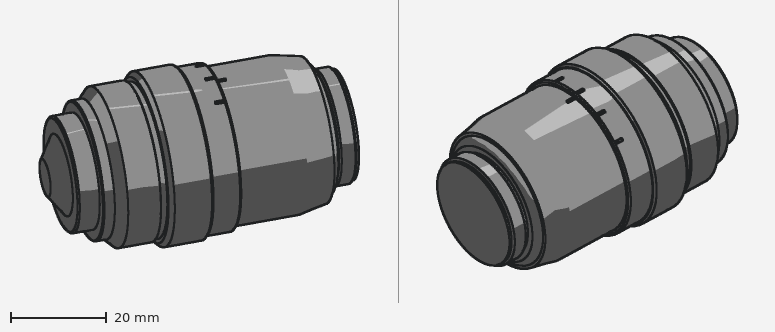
import cadquery as cq

LENGTH = 65.05

TIP_D = 8.05
CONE_BASE_D = 17.55
NOSE_D = 25.0
COLLAR_D = 30.0
FRONT_BARREL_D = 34.5
NECK_D = 33.5
GRIP_RING_D = 37.5
SCALE_RING_D = 36.0
BARREL_D = 34.0
TAPER_END_D = 31.5
SHOULDER_FRONT_D = 30.0
SHOULDER_REAR_D = 26.8
MOUNT_D = 25.0
MOUNT_RELIEF_D = 23.8

CONE_BASE_Y = 3.4
NOSE_REAR_Y = 8.1
COLLAR_REAR_Y = 10.7
NECK_FRONT_Y = 20.1
GRIP_RING_FRONT_Y = 21.6
GRIP_RING_REAR_Y = 31.3
SCALE_RING_REAR_Y = 37.55
TAPER_START_Y = 52.3
TAPER_END_Y = 58.5
SHOULDER_REAR_Y = 60.05
MOUNT_FRONT_Y = 60.7
MOUNT_REAR_Y = 64.5

NOSE_CHAMFER = 0.4
COLLAR_CHAMFER = 0.25
GRIP_FRONT_CHAMFER = 1.05
GRIP_REAR_CHAMFER = 0.5
SCALE_RING_CHAMFER = 0.4
SHOULDER_BULGE = 0.2
MOUNT_CHAMFER_LENGTH = 0.4

MARK_WIDTH = 0.6
MARK_LENGTH = 1.75
MARK_DEPTH = 0.1
INDEX_MARK_FRONT_Y = 37.8
SCALE_MARK_FRONT_Y = 35.1
SCALE_MARK_PITCH = 22.5
SCALE_MARK_STEPS = (-2, -1, 0, 1)


def section(diameter, front_y, rear_y, front_chamfer=0.0, rear_chamfer=0.0):
    """Half-profile points (radius, y) of one cylinder with 45-degree end chamfers."""
    radius = diameter / 2
    points = []
    if front_chamfer:
        points.append((radius - front_chamfer, front_y))
    points.append((radius, front_y + front_chamfer))
    points.append((radius, rear_y - rear_chamfer))
    if rear_chamfer:
        points.append((radius - rear_chamfer, rear_y))
    return points


def make_body():
    front_barrel_chamfer = (FRONT_BARREL_D - COLLAR_D) / 2

    front_outline = [
        (0, 0),
        (TIP_D / 2, 0),
        (CONE_BASE_D / 2, CONE_BASE_Y),
        *section(NOSE_D, CONE_BASE_Y, NOSE_REAR_Y, front_chamfer=NOSE_CHAMFER),
        *section(COLLAR_D, NOSE_REAR_Y, COLLAR_REAR_Y, front_chamfer=COLLAR_CHAMFER),
        (FRONT_BARREL_D / 2, COLLAR_REAR_Y + front_barrel_chamfer),
        (FRONT_BARREL_D / 2, NECK_FRONT_Y),
        *section(NECK_D, NECK_FRONT_Y, GRIP_RING_FRONT_Y),
        *section(GRIP_RING_D, GRIP_RING_FRONT_Y, GRIP_RING_REAR_Y, GRIP_FRONT_CHAMFER, GRIP_REAR_CHAMFER),
        *section(SCALE_RING_D, GRIP_RING_REAR_Y, SCALE_RING_REAR_Y, rear_chamfer=SCALE_RING_CHAMFER),
        *section(BARREL_D, SCALE_RING_REAR_Y, TAPER_START_Y),
        (TAPER_END_D / 2, TAPER_END_Y),
        (SHOULDER_FRONT_D / 2, TAPER_END_Y),
    ]
    rear_outline = [
        (MOUNT_RELIEF_D / 2, SHOULDER_REAR_Y),
        (MOUNT_RELIEF_D / 2, MOUNT_FRONT_Y),
        (MOUNT_D / 2, MOUNT_FRONT_Y + MOUNT_CHAMFER_LENGTH),
        (MOUNT_D / 2, MOUNT_REAR_Y - MOUNT_CHAMFER_LENGTH),
        (MOUNT_RELIEF_D / 2, MOUNT_REAR_Y),
        (MOUNT_RELIEF_D / 2, LENGTH),
        (0, LENGTH),
    ]

    profile = cq.Workplane("XY").polyline(front_outline)
    profile = profile.sagittaArc((SHOULDER_REAR_D / 2, SHOULDER_REAR_Y), -SHOULDER_BULGE)
    for point in rear_outline:
        profile = profile.lineTo(*point)
    return profile.close().revolve(360, (0, 0, 0), (0, 1, 0))


def make_mark(surface_diameter, front_y, angle=0.0):
    """Cutter for a line mark along Y; the angle turns it about Y from the +Z side."""
    floor_z = surface_diameter / 2 - MARK_DEPTH
    return (
        cq.Workplane("XY")
        .box(MARK_WIDTH, MARK_LENGTH, 2 * MARK_DEPTH, centered=(True, False, False))
        .translate((0, front_y, floor_z))
        .rotate((0, 0, 0), (0, 1, 0), angle)
    )


result = make_body().cut(make_mark(BARREL_D, INDEX_MARK_FRONT_Y))
for step in SCALE_MARK_STEPS:
    result = result.cut(make_mark(SCALE_RING_D, SCALE_MARK_FRONT_Y, step * SCALE_MARK_PITCH))